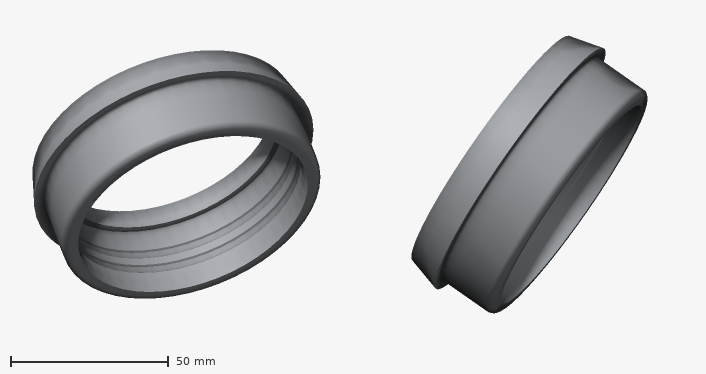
import cadquery as cq
import math

length = 32.0
flange_start = 0.7
flange_end = 12.0
lip_end = 7.1
groove_starts = (14.9, 20.8)
groove_width = 3.3

flange_small_radius = 43.4
flange_large_radius = 46.5
body_radius = 86.0 / 2
lip_radius = 72.1 / 2
mouth_radius = 36.5
bore_radius = 76.4 / 2
groove_radius = 77.4 / 2

root_fillet = 0.8
end_fillet = 2.3


def groove_cutter(start):
    """Disc with 45 degree flanks that cuts one internal groove."""
    end = start + groove_width
    flank = groove_radius - bore_radius
    return (
        cq.Workplane("XY")
        .moveTo(start, 0)
        .lineTo(start, bore_radius)
        .lineTo(start + flank, groove_radius)
        .lineTo(end - flank, groove_radius)
        .lineTo(end, bore_radius)
        .lineTo(end, 0)
        .close()
        .revolve(360, (0, 0, 0), (1, 0, 0))
    )


def ring_blank():
    """Ring with a tapered flange, a coned front face and a tapered mouth."""
    diagonal = math.cos(math.radians(45))
    root_mid = (
        flange_end + root_fillet * (1 - diagonal),
        body_radius + root_fillet * (1 - diagonal),
    )
    end_mid = (
        length - end_fillet * (1 - diagonal),
        body_radius - end_fillet * (1 - diagonal),
    )
    return (
        cq.Workplane("XY")
        .moveTo(lip_end, lip_radius)
        .lineTo(0, mouth_radius)
        .lineTo(flange_start, flange_small_radius)
        .lineTo(flange_end, flange_large_radius)
        .lineTo(flange_end, body_radius + root_fillet)
        .threePointArc(root_mid, (flange_end + root_fillet, body_radius))
        .lineTo(length - end_fillet, body_radius)
        .threePointArc(end_mid, (length, body_radius - end_fillet))
        .lineTo(length, bore_radius)
        .lineTo(lip_end, bore_radius)
        .close()
        .revolve(360, (0, 0, 0), (1, 0, 0))
    )


result = ring_blank()

for groove_start in groove_starts:
    result = result.cut(groove_cutter(groove_start))